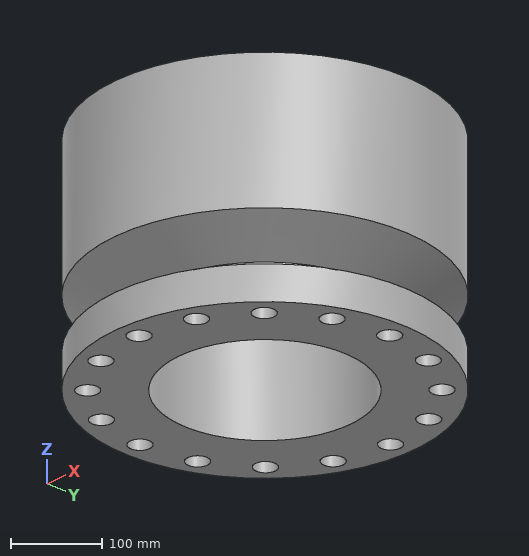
import cadquery as cq

outer_diameter = 444.5
total_height = 303.21
bore_diameter = 254.0

flange_thickness = 46.04
bolt_count = 16
bolt_circle_diameter = 387.35
bolt_hole_diameter = 28.575

neck_diameter = 320.675
neck_top = 78.0
cone_height = 36.0


def turned_body():
    """Ring-shaped body: flange, neck, cone and barrel around one bore."""
    outer_radius = outer_diameter / 2
    neck_radius = neck_diameter / 2
    bore_radius = bore_diameter / 2
    profile = [
        (bore_radius, 0),
        (outer_radius, 0),
        (outer_radius, flange_thickness),
        (neck_radius, flange_thickness),
        (neck_radius, neck_top),
        (outer_radius, neck_top + cone_height),
        (outer_radius, total_height),
        (bore_radius, total_height),
    ]
    return cq.Workplane("XZ").polyline(profile).close().revolve(360, (0, 0), (0, 1))


def bolt_holes():
    """Cylinders that pass through the flange only, one of them on the +X axis."""
    return (
        cq.Workplane("XY")
        .polarArray(bolt_circle_diameter / 2, 0, 360, bolt_count)
        .circle(bolt_hole_diameter / 2)
        .extrude(flange_thickness)
    )


result = turned_body().cut(bolt_holes())